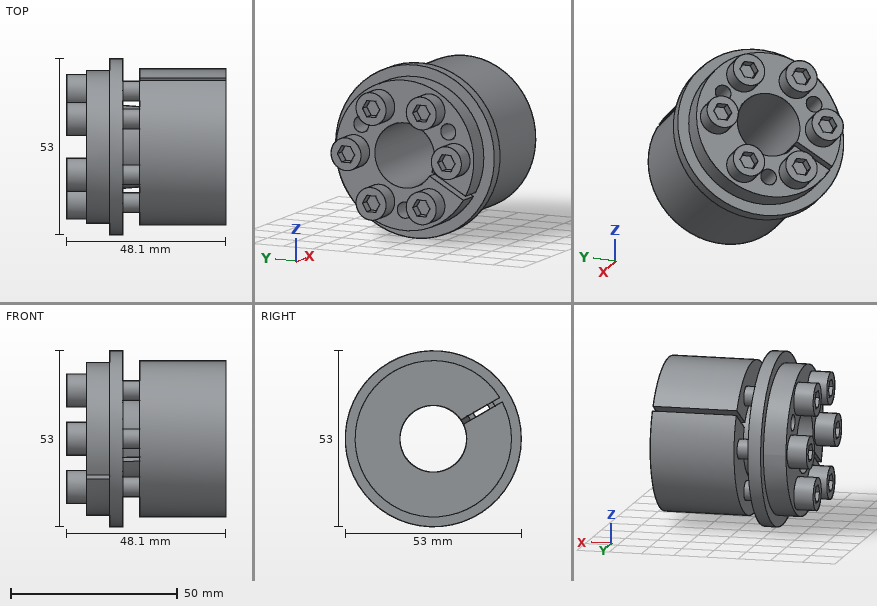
import cadquery as cq
import math

flange_length = 7.0
collar_length = 4.0
gap_length = 5.05
outer_ring_length = 26.0
collar_start = flange_length
collar_end = collar_start + collar_length
outer_ring_start = collar_end + gap_length
outer_ring_end = outer_ring_start + outer_ring_length

bore_diameter = 20.0
flange_diameter = 46.0
collar_diameter = 53.0
collar_bore_diameter = 42.0
outer_ring_diameter = 47.0

cone_start_radius = 12.5
cone_angle = 4.5

slit_width = 1.5
inner_slit_angle = 210
outer_slit_angle = 30

screw_count = 6
screw_circle_radius = 16.75
head_diameter = 10.0
head_height = 6.0
shank_diameter = 6.0
shank_length = 25.0
socket_flats = 5.0
socket_depth = 3.0

jack_hole_count = 3
jack_hole_diameter = 5.0
jack_hole_start_angle = 30


def cone_radius(x):
    """Radius of the clamping cone at station x."""
    return cone_start_radius - (x - collar_end) * math.tan(math.radians(cone_angle))


def ring_position(radius, angle):
    """Y and Z of a point on a circle around the X axis, with the angle from +Y towards +Z."""
    return (radius * math.cos(math.radians(angle)), radius * math.sin(math.radians(angle)))


screw_positions = [ring_position(screw_circle_radius, i * 360 / screw_count) for i in range(screw_count)]
jack_hole_positions = [
    ring_position(screw_circle_radius, jack_hole_start_angle + i * 360 / jack_hole_count)
    for i in range(jack_hole_count)
]


def rods(positions, diameter, start, end):
    """Cylinders along X at the given (y, z) positions, from one station to another."""
    plane = cq.Workplane("YZ", origin=(start, 0, 0))
    return plane.pushPoints(positions).circle(diameter / 2).extrude(end - start)


def revolve_about_x(points):
    """Solid of revolution about the X axis from an (x, radius) outline."""
    return cq.Workplane("XY").polyline(points).close().revolve(360, (0, 0, 0), (1, 0, 0))


def slit(angle):
    """Full-length radial cutter that reaches outwards from the X axis on one side only."""
    reach = collar_diameter / 2
    cutter = cq.Workplane("XY").box(outer_ring_end, reach, slit_width, centered=(False, False, True))
    return cutter.rotate((0, 0, 0), (1, 0, 0), angle)


def make_inner_ring():
    """Flange, spigot that carries the collar, and a tapered sleeve, split by one slit."""
    bore_radius = bore_diameter / 2
    ring = revolve_about_x([
        (0, bore_radius),
        (0, flange_diameter / 2),
        (collar_start, flange_diameter / 2),
        (collar_start, collar_bore_diameter / 2),
        (collar_end, collar_bore_diameter / 2),
        (collar_end, cone_radius(collar_end)),
        (outer_ring_end, cone_radius(outer_ring_end)),
        (outer_ring_end, bore_radius),
    ])
    ring = ring.cut(rods(screw_positions, shank_diameter, 0, collar_end))
    ring = ring.cut(rods(jack_hole_positions, jack_hole_diameter, 0, collar_end))
    return ring.cut(slit(inner_slit_angle))


def make_collar():
    """Plain ring that sits on the spigot behind the flange."""
    plane = cq.Workplane("YZ", origin=(collar_start, 0, 0))
    return plane.circle(collar_diameter / 2).circle(collar_bore_diameter / 2).extrude(collar_length)


def make_outer_ring():
    """Cylinder with a tapered bore and blind screw holes, split by one slit."""
    ring = revolve_about_x([
        (outer_ring_start, cone_radius(outer_ring_start)),
        (outer_ring_start, outer_ring_diameter / 2),
        (outer_ring_end, outer_ring_diameter / 2),
        (outer_ring_end, cone_radius(outer_ring_end)),
    ])
    ring = ring.cut(rods(screw_positions, shank_diameter, outer_ring_start, shank_length))
    return ring.cut(slit(outer_slit_angle))


def make_screw(position):
    """Socket head screw with two hexagon corners along Y."""
    head = rods([position], head_diameter, -head_height, 0)
    shank = rods([position], shank_diameter, 0, shank_length)
    socket_corners = socket_flats / math.cos(math.radians(30))
    socket = (
        cq.Workplane("YZ", origin=(-head_height, 0, 0))
        .pushPoints([position])
        .polygon(6, socket_corners)
        .extrude(socket_depth)
    )
    return head.union(shank).cut(socket)


inner_ring = make_inner_ring()
collar = make_collar()
outer_ring = make_outer_ring()
screws = [make_screw(position) for position in screw_positions]

result = cq.Compound.makeCompound([
    inner_ring.val(),
    collar.val(),
    outer_ring.val(),
    *[screw.val() for screw in screws],
])